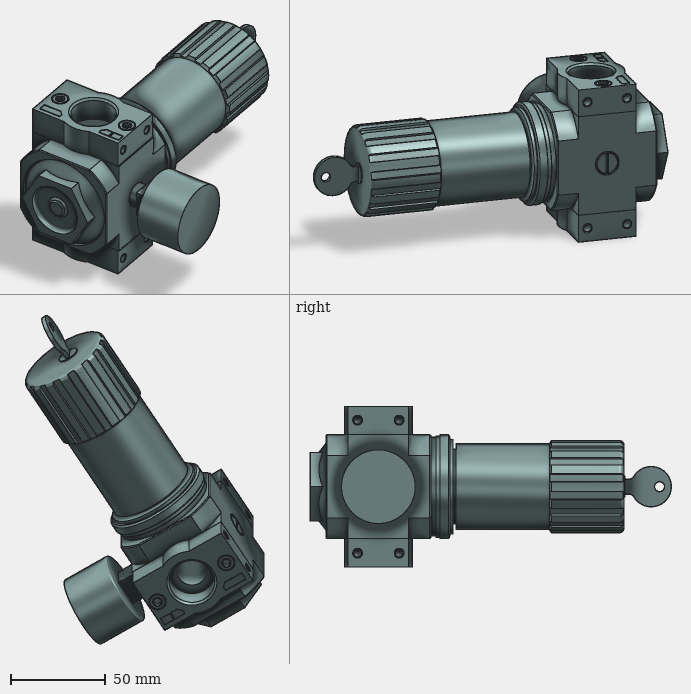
import cadquery as cq
import math


body_half = 27.7
body_left = -28.0
body_right = 27.3
body_half_z = 27.5
corner_radius = 31.9
band_half = 16.0
edge_chamfer = 0.5
bore_dia = 16.0

hex_flats = 36.3
hex_end = -36.1
cap_ring_outer = 26.0
cap_ring_inner = 25.2
cap_ring_depth = 1.5
cone_tip_radius = 17.8
cone_height = 5.5
cap_recess_dia = 28.8
cap_recess_fillet = 1.1
cap_recess_depth = 3.2
boss_base_dia = 12.0
boss_dia = 9.5
boss_top_dia = 7.8
boss_sink = 1.3

slot_ring_outer = 13.2
slot_ring_inner = 11.3
slot_ring_depth = 0.5
slot_length = 10.3
slot_width = 1.1
slot_depth = 1.1

collar_foot_radius = 26.2
collar_step_radius = 26.7
collar_radius = 27.5
collar_disc_radius = 25.0
collar_foot_top = 30.4
collar_step_top = 32.7
collar_rim_top = 37.0
collar_chamfer_top = 37.8
collar_top = 39.5

knob_neck_radius = 19.9
sleeve_radius = 22.7
knob_radius = 24.5
sleeve_start = 41.0
knob_start = 90.3
knob_end = 129.9
knob_top_fillet = 2.7
knob_bottom_bevel = 1.1
groove_count = 16
groove_floor_width = 3.8
groove_mouth_width = 4.8
groove_floor_radius = 23.3
lock_x = -3.5
lock_dia = 11.0
lock_height = 0.5

key_end = 154.9
key_thickness = 2.3
key_head_radius = 10.7
key_hole_dia = 5.2
key_hole_from_end = 6.3
key_neck_width = 8.0
key_neck_fillet = 2.9

port_to_port = 85.0
plate_top = port_to_port / 2
plate_right = 26.7
plate_bulge_radius = 18.0
port_dia = 24.0
port_mouth_dia = 26.4
seal_recess_dia = 28.6
seal_recess_height = 2.1
side_hole_dia = 4.2
side_hole_mouth = 5.2
side_hole_depth = 7.6
side_hole_spacing = 22.0
side_hole_z = 35.1
mark_inner = 12.6
mark_outer = 25.2
mark_top = -9.2
mark_bottom = -13.4
mark_bevel = 2.1
mark_depth = 0.4
mark_rib_x = 19.1
mark_rib_width = 0.8

screw_x = 21.4
screw_hole_dia = 9.2
screw_head_dia = 8.8
screw_head_height = 5.7
screw_chamfer = 0.4
screw_socket_mouth = 5.2
screw_socket_dia = 4.2
screw_socket_depth = 2.9

gauge_neck_dia = 13.2
gauge_block_size = 14.3
gauge_block_start = 32.3
gauge_groove_start = 38.8
gauge_groove_end = 40.3
gauge_groove_depth = 0.85
gauge_case_start = 41.0
gauge_case_dia = 39.0
gauge_case_fillet = 1.0
gauge_end = 67.5

drill_point_angle = 118
drill_half_angle = math.radians(drill_point_angle / 2)


def turned(points):
    """Solid of revolution about the Y axis from (radius, y) points."""
    return cq.Workplane("XY").polyline(points).close().revolve(360, (0, 0), (0, 1))


def box_between(x, y, z):
    """Box spanning the given (low, high) pairs."""
    return cq.Workplane("XY").box(
        x[1] - x[0], y[1] - y[0], z[1] - z[0], centered=False
    ).translate((x[0], y[0], z[0]))


def cylinder_z(dia, z_low, z_high, x=0):
    return cq.Workplane("XY").workplane(offset=z_low).center(x, 0).circle(dia / 2).extrude(z_high - z_low)


def cylinder_x(dia, x_low, x_high):
    return cq.Workplane("YZ").workplane(offset=x_low).circle(dia / 2).extrude(x_high - x_low)


def drilled_hole(mouth_dia, dia, depth):
    """Cutter along +Y from y = 0 with a chamfered mouth, ending in a drill point."""
    mouth_chamfer = (mouth_dia - dia) / 2
    tip = depth + dia / 2 / math.tan(drill_half_angle)
    return turned([(0, 0), (mouth_dia / 2, 0), (dia / 2, mouth_chamfer), (dia / 2, depth), (0, tip)])


def mirrored_in_z(shape):
    return cq.Workplane(obj=shape.val().mirror("XY"))


def make_body_block():
    square = box_between(
        (body_left, body_right), (-body_half, body_half), (-body_half_z, body_half_z)
    )
    barrel = turned(
        [(0, -body_half), (corner_radius, -body_half), (corner_radius, body_half), (0, body_half)]
    )
    rounded = square.intersect(barrel).faces("<Y or >Y").chamfer(edge_chamfer)
    band = box_between(
        (body_left, body_right), (-band_half, band_half), (-body_half_z, body_half_z)
    )
    return rounded.union(band)


def add_cap(block):
    groove_floor = cap_ring_depth - body_half
    groove = turned([
        (0, -body_half), (cap_ring_outer, -body_half),
        (cap_ring_outer, groove_floor), (0, groove_floor),
    ])
    cone_tip = groove_floor - cone_height
    cone = turned([
        (0, groove_floor), (cap_ring_inner, groove_floor),
        (cone_tip_radius, cone_tip), (0, cone_tip),
    ])
    hexagon = (
        cq.Workplane("XZ", origin=(0, groove_floor, 0))
        .polygon(6, hex_flats / math.cos(math.pi / 6))
        .extrude(groove_floor - hex_end)
    )
    floor = hex_end + cap_recess_depth
    recess = turned([
        (0, hex_end), (cap_recess_dia / 2, hex_end), (cap_recess_dia / 2, floor), (0, floor),
    ])
    recess = recess.faces(">Y").edges().fillet(cap_recess_fillet)
    foot_chamfer = (boss_base_dia - boss_dia) / 2
    boss_end = hex_end + boss_sink
    top_chamfer = (boss_dia - boss_top_dia) / 2
    boss = turned([
        (0, floor), (boss_base_dia / 2, floor), (boss_dia / 2, floor - foot_chamfer),
        (boss_dia / 2, boss_end + top_chamfer), (boss_top_dia / 2, boss_end), (0, boss_end),
    ])
    return block.cut(groove).union(cone).union(hexagon).cut(recess).union(boss)


def make_collar():
    return turned([
        (0, body_half), (collar_foot_radius, body_half), (collar_foot_radius, collar_foot_top),
        (collar_step_radius, collar_foot_top), (collar_step_radius, collar_step_top),
        (collar_radius, collar_step_top), (collar_radius, collar_rim_top),
        (collar_foot_radius, collar_chamfer_top), (collar_disc_radius, collar_chamfer_top),
        (collar_disc_radius, collar_top), (0, collar_top),
    ])


def cut_slotted_plug(block):
    """V-shaped ring and driver slot in the -X face."""
    middle = (slot_ring_outer + slot_ring_inner) / 4
    ring = (
        cq.Workplane("XY")
        .polyline([
            (body_left, slot_ring_outer / 2), (body_left + slot_ring_depth, middle),
            (body_left, slot_ring_inner / 2),
        ])
        .close().revolve(360, (0, 0), (1, 0))
    )
    slot = box_between(
        (body_left, body_left + slot_depth),
        (-slot_width / 2, slot_width / 2), (-slot_length / 2, slot_length / 2),
    )
    return block.cut(ring).cut(slot)


def make_housing():
    housing = add_cap(make_body_block()).union(make_collar())
    housing = cut_slotted_plug(housing)
    return housing.cut(cylinder_z(bore_dia, -body_half_z, body_half_z))


def cut_side_holes(plate):
    hole = drilled_hole(side_hole_mouth, side_hole_dia, side_hole_depth)
    left = hole.rotate((0, 0, 0), (0, 0, 1), -90)
    right = left.rotate((0, 0, 0), (0, 0, 1), 180)
    for y in (-side_hole_spacing / 2, side_hole_spacing / 2):
        plate = plate.cut(left.translate((body_left, y, side_hole_z)))
        plate = plate.cut(right.translate((plate_right, y, side_hole_z)))
    return plate


def cut_marks(plate):
    """Bevelled shallow pockets either side of the port; a thin rib splits the right one."""
    right = (
        cq.Workplane("XY", origin=(0, 0, plate_top - mark_depth))
        .polyline([
            (mark_inner, mark_bottom), (mark_outer, mark_bottom), (mark_outer, mark_top),
            (mark_inner + mark_bevel, mark_top), (mark_inner, mark_top - mark_bevel),
        ])
        .close().extrude(mark_depth)
    )
    left = right.mirror("YZ")
    rib = box_between(
        (mark_rib_x - mark_rib_width / 2, mark_rib_x + mark_rib_width / 2),
        (mark_bottom, mark_top), (plate_top - mark_depth, plate_top),
    )
    return plate.cut(left).cut(right.cut(rib))


def make_port_cutter():
    mouth_chamfer = (port_mouth_dia - port_dia) / 2
    port_depth = plate_top - body_half_z
    cutter = turned([
        (0, 0), (port_mouth_dia / 2, 0), (port_dia / 2, mouth_chamfer),
        (port_dia / 2, port_depth), (0, port_depth),
    ])
    return cutter.rotate((0, 0, 0), (1, 0, 0), -90).translate((0, 0, plate_top))


def make_upper_plate():
    plate = box_between(
        (body_left, plate_right), (-band_half, band_half), (body_half_z, plate_top)
    )
    plate = plate.union(cylinder_z(2 * plate_bulge_radius, body_half_z, plate_top))
    plate = plate.cut(cylinder_z(seal_recess_dia, body_half_z, body_half_z + seal_recess_height))
    plate = plate.cut(make_port_cutter())
    for x in (-screw_x, screw_x):
        plate = plate.cut(cylinder_z(screw_hole_dia, plate_top - screw_head_height, plate_top, x))
    return cut_marks(cut_side_holes(plate))


def make_upper_screw(x):
    head = cylinder_z(screw_head_dia, plate_top - screw_head_height, plate_top, x)
    head = head.faces(">Z").chamfer(screw_chamfer)
    socket = drilled_hole(screw_socket_mouth, screw_socket_dia, screw_socket_depth)
    socket = socket.rotate((0, 0, 0), (1, 0, 0), -90)
    return head.cut(socket.translate((x, 0, plate_top)))


def make_knob():
    grip = turned([
        (0, knob_start), (sleeve_radius, knob_start), (knob_radius, knob_start + knob_bottom_bevel),
        (knob_radius, knob_end), (0, knob_end),
    ])
    grip = grip.faces(">Y").edges().fillet(knob_top_fillet)
    groove = (
        cq.Workplane("XZ", origin=(0, knob_start, 0))
        .polyline([
            (groove_floor_radius, -groove_floor_width / 2), (knob_radius, -groove_mouth_width / 2),
            (knob_radius, groove_mouth_width / 2), (groove_floor_radius, groove_floor_width / 2),
        ])
        .close().extrude(knob_start - knob_end)
    )
    pitch = 360 / groove_count
    for i in range(groove_count):
        grip = grip.cut(groove.rotate((0, 0, 0), (0, 1, 0), (i + 0.5) * pitch))
    sleeve = turned([
        (0, collar_top), (knob_neck_radius, collar_top), (knob_neck_radius, sleeve_start),
        (sleeve_radius, sleeve_start), (sleeve_radius, knob_start), (0, knob_start),
    ])
    lock = turned([
        (0, knob_end), (lock_dia / 2, knob_end),
        (lock_dia / 2, knob_end + lock_height), (0, knob_end + lock_height),
    ])
    return grip.union(sleeve).union(lock.translate((lock_x, 0, 0)))


def make_key():
    neck_start = knob_end + lock_height
    head_y = key_end - key_head_radius
    plane = cq.Workplane("YZ", origin=(lock_x - key_thickness / 2, 0, 0))
    head = plane.center(head_y, 0).circle(key_head_radius).extrude(key_thickness)
    neck = box_between(
        (lock_x - key_thickness / 2, lock_x + key_thickness / 2),
        (neck_start, head_y), (-key_neck_width / 2, key_neck_width / 2),
    )
    key = head.union(neck)
    junction_y = head_y - math.sqrt(key_head_radius ** 2 - (key_neck_width / 2) ** 2)
    margin = key_neck_fillet / 2
    junction = cq.selectors.BoxSelector(
        (lock_x - key_thickness, junction_y - margin, -key_neck_width),
        (lock_x + key_thickness, junction_y + margin, key_neck_width),
    )
    key = key.edges("|X").edges(junction).fillet(key_neck_fillet)
    hole = plane.center(key_end - key_hole_from_end, 0).circle(key_hole_dia / 2).extrude(key_thickness)
    return key.cut(hole)


def make_gauge():
    neck = cylinder_x(gauge_neck_dia, body_right, gauge_block_start)
    half = gauge_block_size / 2
    block = box_between((gauge_block_start, gauge_case_start), (-half, half), (-half, half))
    groove_low = box_between(
        (gauge_groove_start, gauge_groove_end), (-half, half), (-half, gauge_groove_depth - half)
    )
    block = block.cut(groove_low).cut(groove_low.mirror("XY"))
    case = cylinder_x(gauge_case_dia, gauge_case_start, gauge_end)
    case = case.faces("<X").edges().fillet(gauge_case_fillet)
    return neck.union(block).union(case)


housing = make_housing()
upper_plate = make_upper_plate()
lower_plate = mirrored_in_z(upper_plate)
upper_screws = [make_upper_screw(x) for x in (-screw_x, screw_x)]
lower_screws = [mirrored_in_z(screw) for screw in upper_screws]
knob = make_knob()
key = make_key()
gauge = make_gauge()

bodies = [housing, upper_plate, lower_plate, *upper_screws, *lower_screws, knob, key, gauge]
result = cq.Compound.makeCompound([body.val() for body in bodies])